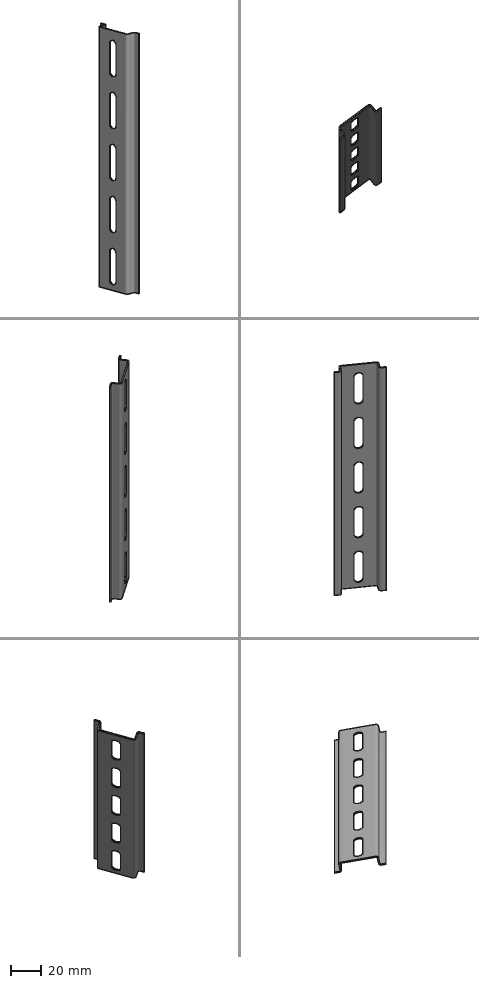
import cadquery as cq

length = 180.0
width = 35.0
depth = 7.5
thickness = 1.0

channel_width = 27.0
bend_inner_radius = 0.8
bend_outer_radius = bend_inner_radius + thickness

slot_count = 5
slot_pitch = length / slot_count
slot_length = 25.0
slot_width = 6.1
slot_row_drop = 1.35

front_face = -depth / 2
back_face = depth / 2


def block(x_size, y_min, y_max):
    """Full-length block, centred on X and Z."""
    return cq.Workplane("XY").box(x_size, y_max - y_min, length).translate((0, (y_min + y_max) / 2, 0))


def rail_section():
    """Sharp-cornered hat section: flanges plus channel, less the channel's hollow."""
    flanges = block(width, back_face - thickness, back_face)
    channel = block(channel_width, front_face, back_face)
    hollow = block(channel_width - 2 * thickness, front_face + thickness, back_face)
    return flanges.union(channel).cut(hollow)


def edges_at(half_x, y):
    """Selector for the pair of lengthwise edges at +/-half_x and y."""
    reach = 0.02
    selector = None
    for x in (-half_x, half_x):
        box = cq.selectors.BoxSelector((x - reach, y - reach, -length), (x + reach, y + reach, length))
        selector = box if selector is None else selector + box
    return selector


def round_bends(rail):
    """Round both sides of the web bends and the flange bends."""
    outer = channel_width / 2
    inner = outer - thickness
    rail = rail.edges(edges_at(outer, front_face)).fillet(bend_outer_radius)
    rail = rail.edges(edges_at(inner, front_face + thickness)).fillet(bend_inner_radius)
    rail = rail.edges(edges_at(inner, back_face)).fillet(bend_outer_radius)
    return rail.edges(edges_at(outer, back_face - thickness)).fillet(bend_inner_radius)


def slots():
    """Row of lengthwise slots, cutting through the web only."""
    return (
        cq.Workplane("XZ", origin=(0, back_face, -slot_row_drop))
        .rarray(1.8, slot_pitch, 1, slot_count)
        .slot2D(slot_length, slot_width, 90)
        .extrude(depth)
    )


result = round_bends(rail_section()).cut(slots())